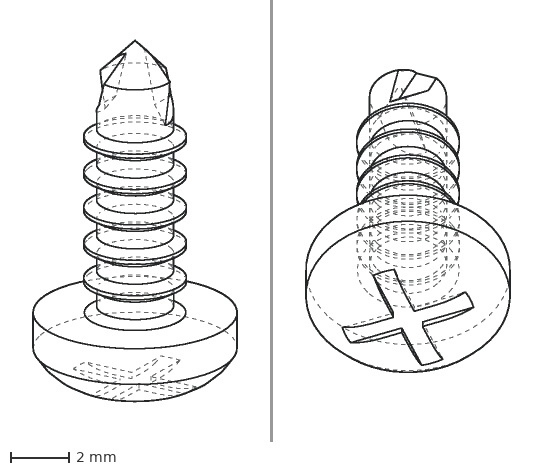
import cadquery as cq
import math

TOTAL_LENGTH = 12.6

HEAD_RADIUS = 3.5
HEAD_HEIGHT = 2.62
DOME_ARC_RADIUS = HEAD_HEIGHT
DOME_SWEEP = math.radians(60)
DOME_HEIGHT = DOME_ARC_RADIUS * (1 - math.cos(DOME_SWEEP))
CROWN_RADIUS = HEAD_RADIUS - DOME_ARC_RADIUS * math.sin(DOME_SWEEP)
DRIVE_WIDTH = 0.77
DRIVE_DEPTH = 0.23

SHANK_RADIUS = 1.32
TIP_HEIGHT = 1.31
SHOULDER_Z = TOTAL_LENGTH - TIP_HEIGHT

RIDGE_RADIUS = 1.76
RIDGE_PITCH = 1.3
RIDGE_COUNT = 6
FIRST_RIDGE_Z = 2.53
RIDGE_ROOT_WIDTH = 0.65
RIDGE_CREST_WIDTH = 0.15

FLUTE_COUNT = 2
FLUTE_BEND_X = -0.8
FLUTE_BEND_Z = 10.42
FLUTE_FLOOR_ANGLE = math.radians(20)
FLUTE_RUNOUT_ANGLE = math.radians(50)
WALL_CROSSING_Z = 10.5
WALL_LEAN = math.radians(12)
CUT_REACH = 2.52


def make_head():
    mid_angle = DOME_SWEEP / 2
    dome_middle = (
        CROWN_RADIUS + DOME_ARC_RADIUS * math.sin(mid_angle),
        DOME_ARC_RADIUS * (1 - math.cos(mid_angle)),
    )
    return (
        cq.Workplane("XZ")
        .lineTo(CROWN_RADIUS, 0)
        .threePointArc(dome_middle, (HEAD_RADIUS, DOME_HEIGHT))
        .lineTo(HEAD_RADIUS, HEAD_HEIGHT)
        .lineTo(0, HEAD_HEIGHT)
        .close()
        .revolve(360, (0, 0), (0, 1))
    )


def make_threaded_shank():
    half_root = RIDGE_ROOT_WIDTH / 2
    half_crest = RIDGE_CREST_WIDTH / 2
    base_z = HEAD_HEIGHT / 2
    profile = cq.Workplane("XZ").moveTo(0, base_z).lineTo(SHANK_RADIUS, base_z)
    for index in range(RIDGE_COUNT):
        ridge_z = FIRST_RIDGE_Z + index * RIDGE_PITCH
        profile = (
            profile.lineTo(SHANK_RADIUS, ridge_z - half_root)
            .lineTo(RIDGE_RADIUS, ridge_z - half_crest)
            .lineTo(RIDGE_RADIUS, ridge_z + half_crest)
            .lineTo(SHANK_RADIUS, ridge_z + half_root)
        )
    return (
        profile.lineTo(SHANK_RADIUS, SHOULDER_Z)
        .lineTo(0, TOTAL_LENGTH)
        .close()
        .revolve(360, (0, 0), (0, 1))
    )


def make_cross_drive():
    slot_length = 2 * HEAD_RADIUS
    slot = cq.Workplane("XY").rect(slot_length, DRIVE_WIDTH).extrude(DRIVE_DEPTH)
    return slot.union(slot.rotate((0, 0, 0), (0, 0, 1), 90))


def make_flute():
    """Flute on the -X, -Y side: its floor profile along Y, bounded by the leaning wall."""
    floor_top_x = FLUTE_BEND_X + (TOTAL_LENGTH - FLUTE_BEND_Z) * math.tan(FLUTE_FLOOR_ANGLE)
    runout_z = FLUTE_BEND_Z - (CUT_REACH + FLUTE_BEND_X) * math.tan(FLUTE_RUNOUT_ANGLE)
    floor_prism = (
        cq.Workplane("XZ")
        .moveTo(floor_top_x, TOTAL_LENGTH)
        .lineTo(FLUTE_BEND_X, FLUTE_BEND_Z)
        .lineTo(-CUT_REACH, runout_z)
        .lineTo(-CUT_REACH, TOTAL_LENGTH)
        .close()
        .extrude(CUT_REACH, both=True)
    )

    def wall_y(z):
        return (WALL_CROSSING_Z - z) * math.tan(WALL_LEAN)

    wall_side = (
        cq.Workplane("YZ")
        .moveTo(wall_y(TOTAL_LENGTH), TOTAL_LENGTH)
        .lineTo(wall_y(runout_z), runout_z)
        .lineTo(-CUT_REACH, runout_z)
        .lineTo(-CUT_REACH, TOTAL_LENGTH)
        .close()
        .extrude(CUT_REACH, both=True)
    )
    return floor_prism.intersect(wall_side)


result = make_head().union(make_threaded_shank()).cut(make_cross_drive())
for index in range(FLUTE_COUNT):
    turn = index * 360 / FLUTE_COUNT
    result = result.cut(make_flute().rotate((0, 0, 0), (0, 0, 1), turn))